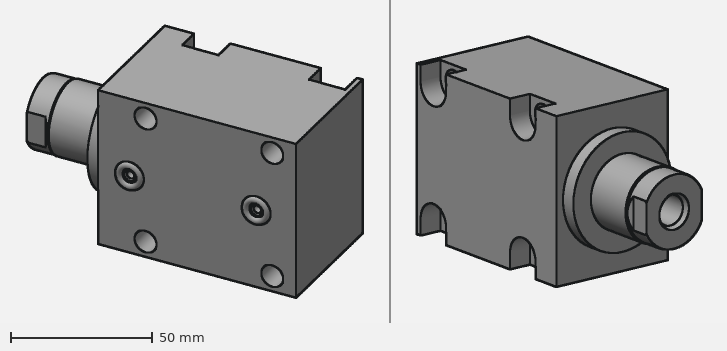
import cadquery as cq
import math

total_length = 114.68
total_depth = 51.99
block_length = 79.375
block_depth = 50.5
block_height = 63.5
half_depth = block_depth / 2
half_height = block_height / 2
block_start = total_length - block_length

flange_diameter = 44.45
flange_thickness = 5.9
rod_diameter = 28.575
neck_diameter = 28.1
shoulder_start = 9.2
shoulder_end = 9.75
lead_length = 0.8
lead_depth = 0.25
flat_width = 25.1
flat_length = 7.45
flat_runout = (rod_diameter - flat_width) / 2

socket_diameter = 11.4
socket_mouth_diameter = 13.4
socket_taper_length = 1.4
socket_depth = 19.0

hole_spacing = 50.8
first_hole_offset = 19.05
hole_diameter = 8.8
recess_width = 14.5
recess_depth = 9.0

first_port_offset = 12.7
seal_outer_diameter = 11.4
seal_section_diameter = 2.9
seal_projection = total_depth - block_depth
port_diameter = 3.0
port_mouth_diameter = 4.4
port_mouth_depth = 0.7
port_depth = 10.0
drill_point_angle = 118
port_tip_depth = port_diameter / 2 / math.tan(math.radians(drill_point_angle / 2))

hole_columns = [block_start + first_hole_offset + i * hole_spacing for i in range(2)]
port_columns = [block_start + first_port_offset + i * hole_spacing for i in range(2)]


def cone_along(diameter_start, diameter_end, length, origin, direction):
    """Solid cone with its first diameter at the origin, running along direction."""
    return cq.Workplane(
        cq.Solid.makeCone(diameter_start / 2, diameter_end / 2, length, cq.Vector(*origin), cq.Vector(*direction))
    )


def cylinder_along(diameter, length, origin, direction):
    """Solid cylinder running from the origin along direction."""
    return cq.Workplane(
        cq.Solid.makeCylinder(diameter / 2, length, cq.Vector(*origin), cq.Vector(*direction))
    )


def make_block():
    return cq.Workplane("XY").box(block_length, block_depth, block_height).translate(
        (block_start + block_length / 2, 0, 0)
    )


def make_rod():
    """Rod and flange turned about X."""
    rod_radius = rod_diameter / 2
    neck_radius = neck_diameter / 2
    flange_radius = flange_diameter / 2
    flange_start = block_start - flange_thickness
    profile = [
        (0, 0),
        (0, neck_radius - lead_depth),
        (lead_length, neck_radius),
        (shoulder_start, neck_radius),
        (shoulder_end, rod_radius),
        (flange_start, rod_radius),
        (flange_start, flange_radius),
        (block_start, flange_radius),
        (block_start, 0),
    ]
    return cq.Workplane("XY").polyline(profile).close().revolve(360, (0, 0, 0), (1, 0, 0))


def make_flat_cutter(side):
    """Material outside one wrench flat; side is +1 or -1 along Y."""
    outer = side * (flat_width / 2 + flat_runout)
    inner = side * flat_width / 2
    profile = [(0, inner), (flat_length, inner), (flat_length + flat_runout, outer), (0, outer)]
    return cq.Workplane("XY").polyline(profile).close().extrude(rod_diameter / 2, both=True)


def make_socket_cutter():
    """Blind bore with a slight lead and then a steeper taper at its mouth, turned about X."""
    bore_radius = socket_diameter / 2
    mouth_radius = socket_mouth_diameter / 2
    profile = [
        (0, 0),
        (0, mouth_radius),
        (lead_length, mouth_radius - lead_depth),
        (lead_length + socket_taper_length, bore_radius),
        (socket_depth, bore_radius),
        (socket_depth, 0),
    ]
    return cq.Workplane("XY").polyline(profile).close().revolve(360, (0, 0, 0), (1, 0, 0))


def make_mounting_cutter(x, side):
    """Through hole with a round-ended recess open to the top (+1) or bottom (-1) face."""
    z = side * hole_spacing / 2
    recess_floor = half_depth - recess_depth
    opening = half_height - hole_spacing / 2
    hole = cylinder_along(hole_diameter, block_depth, (x, -half_depth, z), (0, 1, 0))
    recess_end = cylinder_along(recess_width, recess_depth, (x, recess_floor, z), (0, 1, 0))
    recess_mouth = cq.Workplane("XY").box(recess_width, recess_depth, opening).translate(
        (x, half_depth - recess_depth / 2, z + side * opening / 2)
    )
    return hole.union(recess_end).union(recess_mouth)


def make_seal(x):
    """O-ring partly sunk in the front face."""
    section_radius = seal_section_diameter / 2
    ring_radius = seal_outer_diameter / 2 - section_radius
    centre_y = -half_depth - seal_projection + section_radius
    return cq.Workplane(
        cq.Solid.makeTorus(ring_radius, section_radius, cq.Vector(x, centre_y, 0), cq.Vector(0, 1, 0))
    )


def make_port_cutter(x):
    """Blind drilled port with a conical mouth and a drill point at its end."""
    mouth = (x, -half_depth, 0)
    bore = cylinder_along(port_diameter, port_depth, mouth, (0, 1, 0))
    tip = cone_along(port_diameter, 0, port_tip_depth, (x, port_depth - half_depth, 0), (0, 1, 0))
    return bore.union(tip).union(cone_along(port_mouth_diameter, port_diameter, port_mouth_depth, mouth, (0, 1, 0)))


result = make_block().union(make_rod())
result = result.cut(make_socket_cutter())
for side in (1, -1):
    result = result.cut(make_flat_cutter(side))
    for column in hole_columns:
        result = result.cut(make_mounting_cutter(column, side))
for column in port_columns:
    result = result.union(make_seal(column)).cut(make_port_cutter(column))